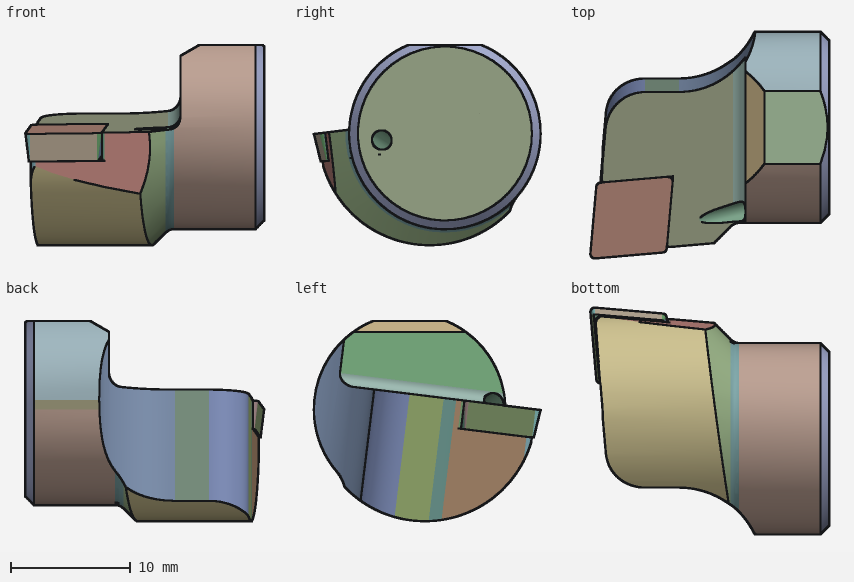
import cadquery as cq
import math

ROLL = 7.0
LEAD = 5.0

SHANK_R = 8.0
REAR_CHAMFER = 0.74
FLAT_Z = 7.4
FACE_X = -7.0
BEVEL_LENGTH = 1.6
BEVEL_ANGLE = 30.0
FLARE_CORNER_X = -7.95
FLARE_ANGLE = 45.0
FLARE_FILLET = 1.0
BLANK_RADIUS = 19.96

HEAD_OFFSET = 1.28
HEAD_DROP = 0.05
HEAD_R = SHANK_R + HEAD_OFFSET
TOP_W = 1.3
STEP_FILLET = 1.0
HEAD_NOSE_R = 0.4
RELIEF_START_U = -3.8
RELIEF_LENGTH = 1.05
RELIEF_LEAN = 2.5
SHOULDER_R = 3.3
SIDE_U = 3.13
SIDE_REAR_X = -12.53
SIDE_SWEEP_R = 6.59

INSERT_SIDE = 6.43
INSERT_THICKNESS = 2.38
INSERT_CLEARANCE = 7.0
INSERT_NOSE_R = 0.4
INSERT_OVERHANG = 0.42
POCKET_X = -13.03
POCKET_U = -3.95
POCKET_EDGE_R = 0.2

HOLE_DIAMETER = 1.6
HOLE_Y = -6.93
HOLE_Z = 0.55
HOLE_SIDE_ANGLE = 13.3
HOLE_DROP_ANGLE = 9.0
HOLE_LENGTH = 23.95

CUT_SIZE = 23.95

lead_cos = math.cos(math.radians(LEAD))
lead_sin = math.sin(math.radians(LEAD))
lead_tan = math.tan(math.radians(LEAD))
pocket_floor = TOP_W - INSERT_THICKNESS


def rolled(shape):
    """Turn a shape from the x, u, w frame into X, Y, Z."""
    return shape.rotate((0, 0, 0), (1, 0, 0), ROLL)


def along_insert(start, side_a, side_b):
    """Move from a point by distances along the two insert side directions."""
    x = start[0] + side_a * lead_cos + side_b * lead_sin
    u = start[1] + side_a * lead_sin + side_b * lead_cos
    return (x, u)


pocket_corner = (POCKET_X, POCKET_U)
insert_tip = along_insert(pocket_corner, -INSERT_SIDE, -INSERT_SIDE)
head_tip = along_insert(insert_tip, INSERT_OVERHANG, INSERT_OVERHANG)


def make_blank():
    """Chamfered shank that flares into the eccentric head cylinder."""
    flare = math.radians(FLARE_ANGLE)
    bend = flare / 2
    flare_end_x = FLARE_CORNER_X - (BLANK_RADIUS - SHANK_R) / math.tan(flare)
    flare_setback = FLARE_FILLET * math.tan(bend)
    arc_mid = (FLARE_CORNER_X + flare_setback - FLARE_FILLET * math.sin(bend),
               SHANK_R + FLARE_FILLET * (1 - math.cos(bend)))
    arc_end = (FLARE_CORNER_X - flare_setback * math.cos(flare),
               SHANK_R + flare_setback * math.sin(flare))
    flared = (
        cq.Workplane("XY")
        .lineTo(0, SHANK_R - REAR_CHAMFER)
        .lineTo(-REAR_CHAMFER, SHANK_R)
        .lineTo(FLARE_CORNER_X + flare_setback, SHANK_R)
        .threePointArc(arc_mid, arc_end)
        .lineTo(flare_end_x, BLANK_RADIUS)
        .lineTo(-CUT_SIZE, BLANK_RADIUS)
        .lineTo(-CUT_SIZE, 0)
        .close()
        .revolve(360, (0, 0, 0), (1, 0, 0))
    )
    head_cylinder = (
        cq.Workplane("YZ").center(-HEAD_OFFSET, -HEAD_DROP).circle(HEAD_R).extrude(-CUT_SIZE)
    )
    return flared.intersect(head_cylinder)


def make_head_prism():
    """Head outline in x and u, extended straight along w, with the insert pocket."""
    relief_front = (head_tip[0] + (RELIEF_START_U - head_tip[1]) * lead_tan, RELIEF_START_U)
    relief_mid = (relief_front[0] + RELIEF_LENGTH / 2 * math.tan(math.radians((LEAD + RELIEF_LEAN) / 2)),
                  RELIEF_START_U + RELIEF_LENGTH / 2)
    relief_rear = (relief_front[0] + RELIEF_LENGTH * math.tan(math.radians(RELIEF_LEAN)),
                   RELIEF_START_U + RELIEF_LENGTH)
    shoulder_start_u = SIDE_U - SHOULDER_R * (1 - lead_sin)
    shoulder_start_x = relief_rear[0] + (shoulder_start_u - relief_rear[1]) * lead_tan
    shoulder_center = (shoulder_start_x + SHOULDER_R * lead_cos, SIDE_U - SHOULDER_R)
    shoulder_mid_angle = math.radians((90 + 180 - LEAD) / 2)
    shoulder_mid = (shoulder_center[0] + SHOULDER_R * math.cos(shoulder_mid_angle),
                    shoulder_center[1] + SHOULDER_R * math.sin(shoulder_mid_angle))
    sweep_mid = (SIDE_REAR_X + SIDE_SWEEP_R * math.sqrt(0.5),
                 SIDE_U + SIDE_SWEEP_R * (1 - math.sqrt(0.5)))
    sweep_end = (SIDE_REAR_X + SIDE_SWEEP_R, SIDE_U + SIDE_SWEEP_R)
    prism = (
        cq.Workplane("XY")
        .moveTo(*head_tip)
        .lineTo(*relief_front)
        .threePointArc(relief_mid, relief_rear)
        .lineTo(shoulder_start_x, shoulder_start_u)
        .threePointArc(shoulder_mid, (shoulder_center[0], SIDE_U))
        .lineTo(SIDE_REAR_X, SIDE_U)
        .threePointArc(sweep_mid, sweep_end)
        .lineTo(0, sweep_end[1])
        .lineTo(0, head_tip[1] - head_tip[0] * lead_tan)
        .close()
        .extrude(CUT_SIZE / 2, both=True)
        .edges(cq.selectors.NearestToPointSelector((*head_tip, 0)))
        .fillet(HEAD_NOSE_R)
    )
    pocket = (
        cq.Workplane("XY", origin=(0, 0, pocket_floor))
        .polyline([
            pocket_corner,
            along_insert(pocket_corner, -CUT_SIZE, 0),
            along_insert(pocket_corner, -CUT_SIZE, -CUT_SIZE),
            along_insert(pocket_corner, 0, -CUT_SIZE),
        ])
        .close()
        .extrude(CUT_SIZE)
    )
    prism = prism.cut(pocket)
    mouth_reach = INSERT_SIDE - INSERT_OVERHANG
    edge_mid_w = (pocket_floor + CUT_SIZE / 2) / 2
    for reach_a, reach_b in [(-mouth_reach, 0), (0, -mouth_reach)]:
        mouth = along_insert(pocket_corner, reach_a, reach_b)
        selector = cq.selectors.NearestToPointSelector((*mouth, edge_mid_w))
        prism = prism.edges(selector).fillet(POCKET_EDGE_R)
    return rolled(prism)


def make_step_cutter():
    """Space above the head's top plane, rounded where it meets the step face."""
    return rolled(
        cq.Workplane("XZ")
        .rect(CUT_SIZE, CUT_SIZE)
        .extrude(CUT_SIZE, both=True)
        .translate((FACE_X - CUT_SIZE / 2, 0, TOP_W + CUT_SIZE / 2))
        .edges("|Y and >X and <Z")
        .fillet(STEP_FILLET)
    )


def make_flat_cutter():
    """Space above the shank's flat and its sloping front bevel."""
    bevel_drop = BEVEL_LENGTH * math.tan(math.radians(BEVEL_ANGLE))
    return (
        cq.Workplane("XZ")
        .polyline([
            (0, FLAT_Z),
            (FACE_X + BEVEL_LENGTH, FLAT_Z),
            (FACE_X, FLAT_Z - bevel_drop),
            (FACE_X, CUT_SIZE),
            (0, CUT_SIZE),
        ])
        .close()
        .extrude(CUT_SIZE, both=True)
    )


def make_coolant_hole():
    """Oblique hole through the shank that breaks out along the head's top plane."""
    direction = cq.Vector(
        -1,
        -math.tan(math.radians(HOLE_SIDE_ANGLE)),
        math.tan(math.radians(HOLE_DROP_ANGLE)),
    ).normalized()
    start = cq.Vector(FACE_X, HOLE_Y, HOLE_Z) - direction * (HOLE_LENGTH / 2)
    return cq.Solid.makeCylinder(HOLE_DIAMETER / 2, HOLE_LENGTH, start, direction)


def make_holder():
    return (
        make_blank()
        .intersect(make_head_prism())
        .cut(make_step_cutter())
        .cut(make_flat_cutter())
        .cut(make_coolant_hole())
    )


def make_insert():
    """Rhombic cutting insert that tapers from its top face to the pocket floor."""
    top_outline = (
        cq.Sketch()
        .polygon([
            pocket_corner,
            along_insert(pocket_corner, -INSERT_SIDE, 0),
            insert_tip,
            along_insert(pocket_corner, 0, -INSERT_SIDE),
            pocket_corner,
        ])
        .vertices()
        .fillet(INSERT_NOSE_R)
    )
    return rolled(
        cq.Workplane("XY", origin=(0, 0, TOP_W))
        .placeSketch(top_outline)
        .extrude(-INSERT_THICKNESS, taper=INSERT_CLEARANCE)
    )


holder = make_holder()
insert = make_insert()
result = cq.Compound.makeCompound([holder.val(), insert.val()])